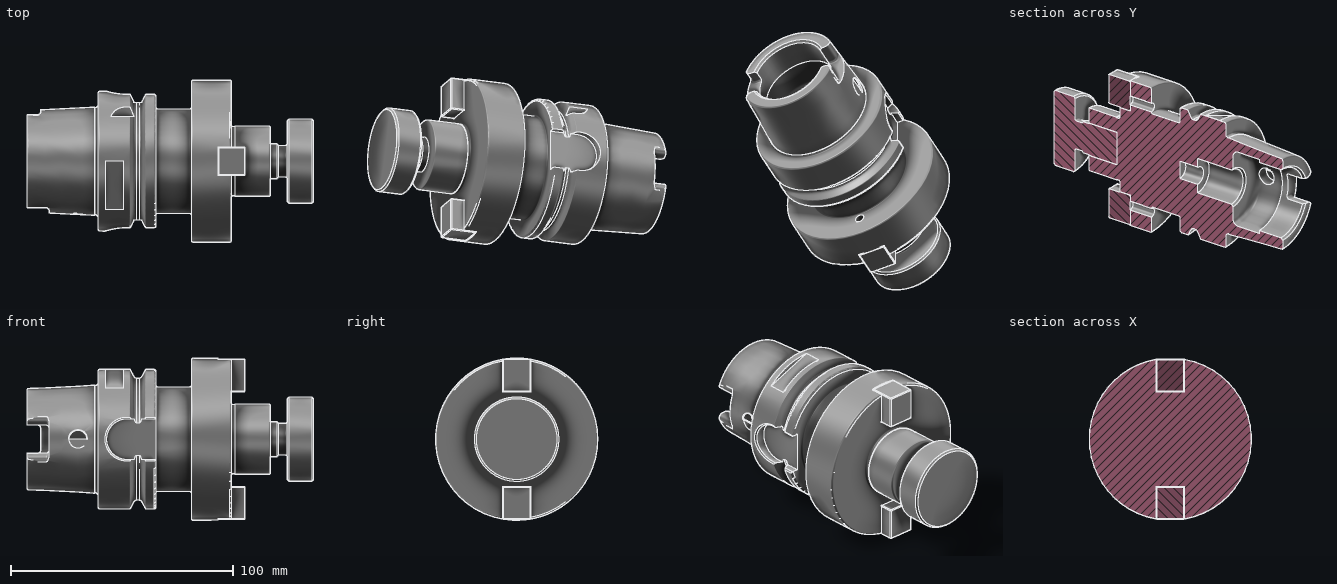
import cadquery as cq
import math


shank_length = 32.0
taper_end_radius = 22.85
taper_ratio = 20.0
shank_edge_round = 1.0
root_relief_depth = 0.3
root_round = 1.25
taper_root_radius = taper_end_radius + shank_length / taper_ratio

mouth_radius = 18.0
bore_radius = 17.0
bore_end_x = -18.75
undercut_radius = 18.5
bore_floor_x = -4.0
bore_floor_round = 2.7
center_hole_radius = 8.5
center_hole_chamfer = 1.0
center_hole_depth = 20.0
pilot_radius = 4.25
pilot_depth = 10.0

drive_slots = [(-1, 10.0), (1, 6.2)]
drive_slot_width = 12.6
drive_slot_corner = 1.4
drive_edge_round = 2.7

access_rim_radius = 4.25
access_hole_radius = 4.0
access_rim_floor = 23.3
access_hole_x = -9.0

flange_radius = 31.5
flange_width = 26.1
flange_edge_round = 1.0
groove_center_x = 17.95
groove_radius = 27.5
groove_floor_width = 2.75
groove_flank_angle = 28.0
groove_root_round = 1.2
groove_edge_round = 0.5

keyway_width = 18.2
keyway_center_x = 13.0
keyway_floor = 26.5
keyway_chamfer = 0.75

notch_wall_y = 20.1
notch_floor_z = 19.9
notch_end_radius = 8.0
notch_center_x = 12.9

flat_start_x = 3.5
flat_length = 8.0
flat_half_angle = 21.7

neck_radius = 23.55
neck_round = 0.7
disc_start_x = 42.0
disc_radius = 36.5
disc_width = 18.0
disc_edge_round = 0.8
spigot_radius = 15.875
spigot_length = 17.5
spigot_relief_radius = 15.625
spigot_relief_width = 1.7
spigot_root_round = 0.65
spigot_edge_round = 0.7
disc_end_x = disc_start_x + disc_width
spigot_end_x = disc_end_x + spigot_length

key_width = 12.7
key_length = 12.2
key_start_x = 54.0
key_inner_z = 21.3
key_outer_z = 36.1
key_chamfer = 0.4
key_screw_hole_radius = 4.13 / 2
key_screw_hole_z = 26.4

screw_radius = 15.88 / 2
screw_depth = 16.0
screw_shoulder_x = 80.4
screw_neck_radius = 14.35 / 2
head_radius = 19.0
head_start_x = 85.0
head_end_x = 97.0
head_chamfer = 0.85
head_root_round = 0.7

overcut = 5.0


def cylinder(start_x, end_x, radius):
    return cq.Workplane("YZ", origin=(start_x, 0, 0)).circle(radius).extrude(end_x - start_x)


def revolve_profile(points):
    """Solid of revolution about X from (x, radius) points."""
    return cq.Workplane("XY").polyline(points).close().revolve(360, (0, 0, 0), (1, 0, 0))


def make_groove():
    """Ring that cuts the trapezoidal gripper groove, with a rounded root."""
    ring_radius = flange_radius + overcut
    half_floor = groove_floor_width / 2
    flank_run = (ring_radius - groove_radius) * math.tan(math.radians(groove_flank_angle))
    half_top = half_floor + flank_run
    section = cq.Sketch().polygon([
        (-half_floor, groove_radius),
        (half_floor, groove_radius),
        (half_top, ring_radius),
        (-half_top, ring_radius),
        (-half_floor, groove_radius),
    ]).vertices("<Y").fillet(groove_root_round)
    groove = cq.Workplane("XY").placeSketch(section).revolve(360, (0, 0, 0), (1, 0, 0))
    return groove.translate((groove_center_x, 0, 0))


def is_groove_rim(edge):
    """True for the two circles where the groove flanks meet the outside of the flange."""
    inside = 2 * flange_edge_round < edge.Center().x < flange_width - 2 * flange_edge_round
    return inside and edge.radius() > flange_radius - groove_edge_round


def make_grooved_blank():
    blank = cylinder(0, flange_width, flange_radius).edges("%CIRCLE").fillet(flange_edge_round)
    blank = blank.cut(make_groove())
    rim_edges = blank.edges("%CIRCLE").filter(is_groove_rim)
    return rim_edges.fillet(groove_edge_round)


def make_keyway(side):
    """Round-ended keyway cut from the flange rim down to a flat floor, open towards +X."""
    half = keyway_width / 2
    depth = flange_radius + overcut - keyway_floor
    open_end = flange_width + overcut
    profile = (
        cq.Workplane("XZ", origin=(0, side * keyway_floor, 0))
        .moveTo(open_end, -half)
        .lineTo(keyway_center_x, -half)
        .threePointArc((keyway_center_x - half, 0), (keyway_center_x, half))
        .lineTo(open_end, half)
        .close()
    )
    return profile.extrude(-side * depth)


def make_notch():
    """Corner notch with a vertical wall, a level floor and a round end."""
    top = notch_floor_z + 2 * notch_end_radius
    open_end = flange_width + overcut
    return (
        cq.Workplane("XZ", origin=(0, notch_wall_y, 0))
        .moveTo(open_end, notch_floor_z)
        .lineTo(notch_center_x, notch_floor_z)
        .threePointArc((notch_center_x - notch_end_radius, notch_floor_z + notch_end_radius),
                       (notch_center_x, top))
        .lineTo(open_end, top)
        .close()
        .extrude(-flange_radius)
    )


def make_sunk_flat():
    """Flat whose chord starts at the top of the flange and runs towards -Y."""
    floor = flange_radius * math.cos(math.radians(flat_half_angle))
    block = cq.Workplane("XY").box(flat_length, flange_radius * 2, overcut, centered=(False, True, False))
    block = block.translate((flat_start_x, 0, floor))
    return block.rotate((0, 0, 0), (1, 0, 0), flat_half_angle)


def make_flange():
    """Flange with two keyways (the -Y one chamfered), corner notch, sunk flat and gripper groove."""
    flange = cylinder(0, flange_width, flange_radius)
    for side in (-1, 1):
        flange = flange.cut(make_keyway(side))
    chamfer_reach_z = keyway_width / 2 + 1
    rim_edges = cq.selectors.BoxSelector(
        (0.5, -flange_radius - 1, -chamfer_reach_z),
        (flange_width - 0.5, -keyway_floor - 1, chamfer_reach_z),
    )
    flange = flange.edges(rim_edges).chamfer(keyway_chamfer)
    flange = flange.cut(make_notch()).cut(make_sunk_flat())
    return flange.intersect(make_grooved_blank())


def root_ring(face_x, radius, size, side):
    """Concave round at the foot of a cylinder that leaves a face towards side (+1 or -1)."""
    mid = size * (1 - math.sqrt(0.5))
    return (
        cq.Workplane("XY")
        .moveTo(face_x, radius - size)
        .lineTo(face_x, radius + size)
        .threePointArc((face_x + side * mid, radius + mid), (face_x + side * size, radius))
        .lineTo(face_x + side * size, radius - size)
        .close()
        .revolve(360, (0, 0, 0), (1, 0, 0))
    )


def make_neck():
    """Neck between flange and disc with a concave round at both ends."""
    neck = cylinder(flange_width, disc_start_x, neck_radius)
    neck = neck.union(root_ring(flange_width, neck_radius, neck_round, 1))
    return neck.union(root_ring(disc_start_x, neck_radius, neck_round, -1))


def make_shank():
    relief_radius = taper_root_radius - root_relief_depth
    relief_start_x = -root_round - root_relief_depth
    taper_edge_radius = taper_root_radius + relief_start_x / taper_ratio
    round_mid = root_round * (1 - math.sqrt(0.5))
    taper = (
        cq.Workplane("XY")
        .moveTo(-shank_length, 0)
        .lineTo(-shank_length, taper_end_radius)
        .lineTo(relief_start_x, taper_edge_radius)
        .lineTo(-root_round, relief_radius)
        .threePointArc((-round_mid, relief_radius + round_mid), (0, relief_radius + root_round))
        .lineTo(0, 0)
        .close()
        .revolve(360, (0, 0, 0), (1, 0, 0))
    )
    return taper.faces("<X").edges().fillet(shank_edge_round)


def make_shank_bore():
    """Chamfered bore with a wider clamping chamber, a center hole and a pilot hole behind it."""
    mouth_chamfer = mouth_radius - bore_radius
    round_mid = bore_floor_round * (1 - math.sqrt(0.5))
    hole_end_x = bore_floor_x + center_hole_depth
    return (
        cq.Workplane("XY")
        .moveTo(-shank_length, 0)
        .lineTo(-shank_length, mouth_radius)
        .lineTo(-shank_length + mouth_chamfer, bore_radius)
        .lineTo(bore_end_x, bore_radius)
        .lineTo(bore_end_x, undercut_radius)
        .lineTo(bore_floor_x - bore_floor_round, undercut_radius)
        .threePointArc((bore_floor_x - round_mid, undercut_radius - round_mid),
                       (bore_floor_x, undercut_radius - bore_floor_round))
        .lineTo(bore_floor_x, center_hole_radius + center_hole_chamfer)
        .lineTo(bore_floor_x + center_hole_chamfer, center_hole_radius)
        .lineTo(hole_end_x, center_hole_radius)
        .lineTo(hole_end_x, pilot_radius)
        .lineTo(hole_end_x + pilot_depth, pilot_radius)
        .lineTo(hole_end_x + pilot_depth, 0)
        .close()
        .revolve(360, (0, 0, 0), (1, 0, 0))
    )


def make_drive_slot(side, depth):
    """Slot across the shank wall whose sides flare outwards, with a rounded floor edge."""
    half = drive_slot_width / 2
    rim_y = taper_root_radius + overcut
    mid_depth_radius = taper_end_radius + depth / 2 / taper_ratio
    center_z = half + drive_edge_round
    center_distance = mid_depth_radius - drive_edge_round
    center_y = math.sqrt(center_distance**2 - center_z**2)
    taper_angle = math.atan2(center_z, center_y)
    end_y = mid_depth_radius * math.cos(taper_angle)
    end_z = mid_depth_radius * math.sin(taper_angle)
    mid_angle = (taper_angle - math.pi / 2) / 2
    mid_y = center_y + drive_edge_round * math.cos(mid_angle)
    mid_z = center_z + drive_edge_round * math.sin(mid_angle)
    slot = (
        cq.Workplane("YZ", origin=(-shank_length - overcut, 0, 0))
        .moveTo(0, -half)
        .lineTo(center_y, -half)
        .threePointArc((mid_y, -mid_z), (end_y, -end_z))
        .lineTo(rim_y, -end_z)
        .lineTo(rim_y, end_z)
        .lineTo(end_y, end_z)
        .threePointArc((mid_y, mid_z), (center_y, half))
        .lineTo(0, half)
        .close()
        .extrude(depth + overcut)
    )
    slot = slot.faces(">X").edges("not |Z").fillet(drive_slot_corner)
    if side < 0:
        slot = slot.rotate((0, 0, 0), (1, 0, 0), 180)
    return slot


def make_access_hole():
    """Hole from the clamping chamber towards -Y that breaks out only through a half-round rim."""
    hole = cq.Workplane("XZ").circle(access_hole_radius).extrude(access_rim_floor)
    rim = cq.Workplane("XZ", origin=(0, -access_rim_floor, 0)).circle(access_rim_radius).extrude(overcut)
    upper_half = cq.Workplane("XY").box(flange_radius, 2 * flange_radius, flange_radius,
                                        centered=(True, True, False))
    return hole.union(rim.intersect(upper_half)).translate((access_hole_x, 0, 0))


def make_holder():
    shank = make_shank().cut(make_shank_bore())
    for side, depth in drive_slots:
        shank = shank.cut(make_drive_slot(side, depth))
    holder = shank.union(make_flange())
    neck = make_neck()
    disc = cylinder(disc_start_x, disc_end_x, disc_radius).edges("%CIRCLE").fillet(disc_edge_round)
    spigot = revolve_profile([
        (disc_end_x, 0),
        (disc_end_x, spigot_relief_radius),
        (disc_end_x + spigot_relief_width, spigot_relief_radius),
        (disc_end_x + spigot_relief_width, spigot_radius),
        (spigot_end_x, spigot_radius),
        (spigot_end_x, 0),
    ]).faces(">X").edges().fillet(spigot_edge_round)
    spigot = spigot.union(root_ring(disc_end_x, spigot_relief_radius, spigot_root_round, 1))
    holder = holder.union(neck).union(disc).union(spigot).cut(make_shank_bore())
    holder = holder.cut(make_access_hole())
    holder = holder.cut(cylinder(spigot_end_x - screw_depth, spigot_end_x, screw_radius))
    for side in (-1, 1):
        slot = cq.Workplane("XY").box(disc_width, key_width, disc_radius, centered=(False, True, False))
        slot = slot.translate((key_start_x, 0, key_inner_z))
        if side < 0:
            slot = slot.rotate((0, 0, 0), (1, 0, 0), 180)
        hole = cylinder(disc_start_x, key_start_x, key_screw_hole_radius).translate(
            (0, 0, side * key_screw_hole_z))
        holder = holder.cut(slot).cut(hole)
    return holder


def make_key(side):
    key = cq.Workplane("XY").box(key_length, key_width, key_outer_z - key_inner_z, centered=(False, True, False))
    key = key.translate((key_start_x, 0, key_inner_z))
    key = key.edges().chamfer(key_chamfer)
    if side < 0:
        key = key.rotate((0, 0, 0), (1, 0, 0), 180)
    return key


def make_screw():
    screw = revolve_profile([
        (spigot_end_x - screw_depth, 0),
        (spigot_end_x - screw_depth, screw_radius),
        (screw_shoulder_x, screw_radius),
        (screw_shoulder_x + screw_radius - screw_neck_radius, screw_neck_radius),
        (head_start_x, screw_neck_radius),
        (head_start_x, head_radius - head_chamfer),
        (head_start_x + head_chamfer, head_radius),
        (head_end_x - head_chamfer, head_radius),
        (head_end_x, head_radius - head_chamfer),
        (head_end_x, 0),
    ])
    return screw.union(root_ring(head_start_x, screw_neck_radius, head_root_round, -1))


holder = make_holder()
keys = [make_key(side) for side in (-1, 1)]
screw = make_screw()
result = cq.Compound.makeCompound([holder.val(), *[key.val() for key in keys], screw.val()])